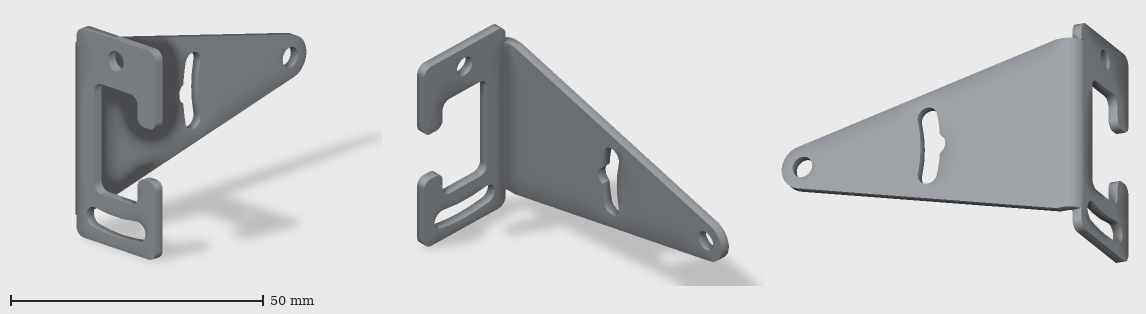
import cadquery as cq
import math

thickness = 2.0
inner_bend_radius = thickness / 2
outer_bend_radius = inner_bend_radius + thickness

part_width = 24.1
arm_length = 64.5
plate_height = 44.0
arm_height = 36.0

hole_diameter = 4.25
slot_width = hole_diameter

plate_left = thickness
plate_center_x = (plate_left + part_width) / 2
plate_corner_radius = 2.0
plate_hole_z = 17.5
plate_slot_radius = 2 * plate_hole_z
plate_slot_half_angle = 10

window_left = 7.0
window_right = 19.1
window_height = 23.2
mouth_height = 11.1
window_corner_radius = 2.0
finger_corner_radius = 1.75

margin = 0.65

tip_radius = 4.5
tip_y = arm_length - tip_radius
taper_start_y = 4.6
arm_slot_radius = 27.9
arm_slot_half_angle = 12.3
notch_radius = 2.3
notch_y = 31.15


def polar(center, radius, degrees):
    """Point at an angle and distance from a centre."""
    angle = math.radians(degrees)
    return (center[0] + radius * math.cos(angle), center[1] + radius * math.sin(angle))


def arc_slot(plane, pivot, radius, half_angle, depth):
    """Round-ended slot around a pivot, centred on the direction of negative local Y."""
    middle = -90
    start = middle - half_angle
    end = middle + half_angle
    outer = radius + slot_width / 2
    inner = radius - slot_width / 2
    end_cap = polar(polar(pivot, radius, end), slot_width / 2, end + 90)
    start_cap = polar(polar(pivot, radius, start), slot_width / 2, start - 90)
    return (
        cq.Workplane(plane)
        .moveTo(*polar(pivot, outer, start))
        .threePointArc(polar(pivot, outer, middle), polar(pivot, outer, end))
        .threePointArc(end_cap, polar(pivot, inner, end))
        .threePointArc(polar(pivot, inner, middle), polar(pivot, inner, start))
        .threePointArc(start_cap, polar(pivot, outer, start))
        .close()
        .extrude(depth)
    )


def round_hole(plane, center, radius, depth):
    return cq.Workplane(plane).center(*center).circle(radius).extrude(depth)


plate_plane = cq.Plane(origin=(0, 0, 0), xDir=(1, 0, 0), normal=(0, -1, 0))
arm_plane = cq.Plane(origin=(0, 0, 0), xDir=(0, 0, -1), normal=(1, 0, 0))


def mounting_plate():
    plate = (
        cq.Workplane("XY")
        .box(part_width - plate_left, thickness, plate_height, centered=(False, False, True))
        .translate((plate_left, 0, 0))
        .edges("|Y")
        .fillet(plate_corner_radius)
    )
    window = (
        cq.Workplane("XY")
        .box(window_right - window_left, thickness, window_height, centered=(False, False, True))
        .translate((window_left, 0, 0))
        .edges("|Y")
        .fillet(window_corner_radius)
    )
    mouth = (
        cq.Workplane("XY")
        .box(part_width - plate_center_x, thickness, mouth_height, centered=(False, False, True))
        .translate((plate_center_x, 0, 0))
    )
    half_mouth = mouth_height / 2
    finger_box = cq.selectors.BoxSelector(
        (window_right - margin, -margin, -half_mouth - margin),
        (part_width + margin, thickness + margin, half_mouth + margin),
    )
    plate = plate.cut(window).cut(mouth).edges(finger_box).edges("|Y").fillet(finger_corner_radius)

    pivot = (plate_center_x, plate_hole_z)
    hole = round_hole(plate_plane, pivot, hole_diameter / 2, -thickness)
    slot = arc_slot(plate_plane, pivot, plate_slot_radius, plate_slot_half_angle, -thickness)
    bend_relief = cq.Workplane("XY").box(
        outer_bend_radius, thickness, arm_height, centered=(False, False, True)
    )
    return plate.cut(hole).cut(slot).cut(bend_relief)


def bend():
    """Quarter-round bend joining the arm to the mounting plate."""
    center = (outer_bend_radius, outer_bend_radius)
    return (
        cq.Workplane("XY")
        .workplane(offset=-arm_height / 2)
        .moveTo(0, outer_bend_radius)
        .threePointArc(polar(center, outer_bend_radius, 225), (outer_bend_radius, 0))
        .lineTo(outer_bend_radius, thickness)
        .threePointArc(polar(center, inner_bend_radius, 225), (thickness, outer_bend_radius))
        .close()
        .extrude(arm_height)
    )


def arm():
    half_height = arm_height / 2
    run = tip_y - taper_start_y
    taper_angle = math.degrees(
        math.atan2(half_height, run) - math.asin(tip_radius / math.hypot(run, half_height))
    )
    pivot = (0, tip_y)
    blank = (
        cq.Workplane(arm_plane)
        .moveTo(-half_height, outer_bend_radius)
        .lineTo(half_height, outer_bend_radius)
        .lineTo(half_height, taper_start_y)
        .lineTo(*polar(pivot, tip_radius, taper_angle))
        .threePointArc((0, arm_length), polar(pivot, tip_radius, 180 - taper_angle))
        .lineTo(-half_height, taper_start_y)
        .close()
        .extrude(thickness)
    )
    hole = round_hole(arm_plane, pivot, hole_diameter / 2, thickness)
    slot = arc_slot(arm_plane, pivot, arm_slot_radius, arm_slot_half_angle, thickness)
    notch = round_hole(arm_plane, (0, notch_y), notch_radius, thickness)
    return blank.cut(hole).cut(slot).cut(notch)


result = mounting_plate().union(bend()).union(arm())